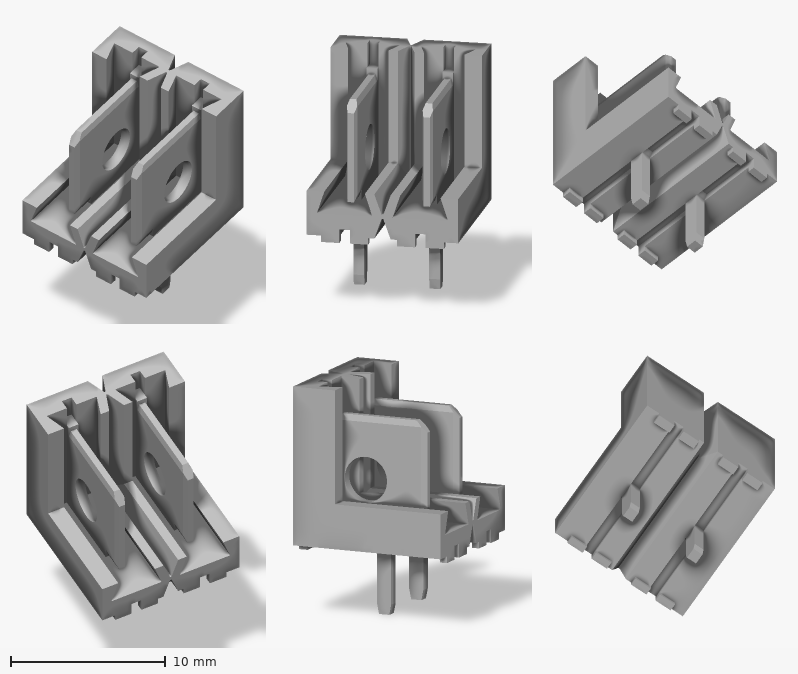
import cadquery as cq


housing_width = 10.0
half_width = housing_width / 2
leg_length = 10.5
leg_thickness = 2.97
channel_depth = 1.48
channel_mouth = 2.67
channel_base = 3.66
groove_width = 1.08
groove_tip = 0.1
web_thickness = 0.27

foot_width = 3.1
foot_height = 0.44
front_foot_depth = 0.5
back_foot_depth = 0.6

thickness = 0.7
plate_back = 1.77
plate_far = 8.5
edge_inset = 0.14
edge_reach = 0.4
corner_cut = 0.75
hole_diameter = 3.0
hole_setback = 4.2
hole_height = 4.3
tongue_back = 0.8
tongue_top = 8.88
base_front = 6.88
base_bottom = 0.48
pin_back = 5.0
pin_front = 6.0
pin_length = 4.5
pin_taper_length = 0.69
pin_taper_inset = 0.14
shoulder_height = 0.35
shoulder_reach = 0.22

cell_centers = [-half_width / 2, half_width / 2]


def block(width, x, y_range, z_range):
    """Box centred on x that spans the given Y and Z ranges."""
    y_min, y_max = y_range
    z_min, z_max = z_range
    return (
        cq.Workplane("XY", origin=(x, (y_min + y_max) / 2, z_min))
        .rect(width, y_max - y_min)
        .extrude(z_max - z_min)
    )


def leg_outline():
    """Leg cross-section as (x, height above the outer face): V grooves and dovetail channels."""
    groove_depth = (leg_thickness - web_thickness) / 2
    channel_floor = leg_thickness - channel_depth
    points = [
        (-half_width, 0),
        (-groove_width / 2, 0),
        (-groove_tip / 2, groove_depth),
        (groove_tip / 2, groove_depth),
        (groove_width / 2, 0),
        (half_width, 0),
        (half_width, leg_thickness),
    ]
    left, right = cell_centers
    inner_groove = [
        (groove_width / 2, leg_thickness),
        (groove_tip / 2, leg_thickness - groove_depth),
        (-groove_tip / 2, leg_thickness - groove_depth),
        (-groove_width / 2, leg_thickness),
    ]
    for center, following in ((right, inner_groove), (left, [(-half_width, leg_thickness)])):
        points += [
            (center + channel_mouth / 2, leg_thickness),
            (center + channel_base / 2, channel_floor),
            (center - channel_base / 2, channel_floor),
            (center - channel_mouth / 2, leg_thickness),
        ]
        points += following
    return points


def make_legs():
    """Floor and wall: one cross-section swept round the L with a mitred corner."""
    path = cq.Workplane("YZ").polyline([(-leg_length, 0), (0, 0), (0, leg_length)])
    outline = cq.Workplane("XZ", origin=(0, -leg_length, 0)).polyline(leg_outline()).close()
    return outline.sweep(path, transition="right")


def make_housing():
    housing = make_legs()
    for x in cell_centers:
        front_span = (-leg_length, -leg_length + front_foot_depth)
        back_span = (-back_foot_depth, 0)
        for span in (front_span, back_span):
            housing = housing.union(block(foot_width, x, span, (-foot_height, 0)))
        wall_slot = block(thickness, x, (-leg_thickness, -tongue_back), (base_bottom, leg_length))
        floor_slot = block(thickness, x, (-base_front, -tongue_back), (base_bottom, leg_thickness))
        underside = block(thickness, x, (-leg_length, 0), (-foot_height, base_bottom))
        housing = housing.cut(wall_slot).cut(floor_slot).cut(underside)
    return housing


def make_plate():
    """Blade with bevelled top, bottom and front edges and a cut corner."""
    half = thickness / 2
    land = half - edge_inset
    near, far = plate_back, plate_far
    bevelled_top_and_bottom = (
        cq.Workplane("XZ", origin=(0, -near, 0))
        .polyline([
            (-land, near), (land, near), (half, near + edge_reach), (half, far - edge_reach),
            (land, far), (-land, far), (-half, far - edge_reach), (-half, near + edge_reach),
        ])
        .close()
        .extrude(far - near)
    )
    bevelled_front = (
        cq.Workplane("XY", origin=(0, 0, near))
        .polyline([
            (-half, -near), (-half, edge_reach - far), (-land, -far),
            (land, -far), (half, edge_reach - far), (half, -near),
        ])
        .close()
        .extrude(far - near)
    )
    corner = (
        cq.Workplane("YZ")
        .polyline([(-far, far), (corner_cut - far, far), (-far, far - corner_cut)])
        .close()
        .extrude(half, both=True)
    )
    return bevelled_top_and_bottom.intersect(bevelled_front).cut(corner)


def make_terminal(x):
    """Blade with a round hole, the tongue and base that anchor it, and the tapered solder pin."""
    blade_overlap = plate_back + edge_reach
    anchor = (
        cq.Workplane("YZ")
        .polyline([
            (-tongue_back, tongue_top),
            (-tongue_back, base_bottom),
            (-pin_back, base_bottom),
            (-pin_back, pin_taper_length - pin_length),
            (-pin_back - pin_taper_inset, -pin_length),
            (-pin_front + pin_taper_inset, -pin_length),
            (-pin_front, pin_taper_length - pin_length),
            (-pin_front, base_bottom - shoulder_height),
            (-pin_front - shoulder_reach, base_bottom),
            (-base_front, base_bottom),
            (-base_front, blade_overlap),
            (-plate_back, blade_overlap),
            (-plate_back, tongue_top),
        ])
        .close()
        .extrude(thickness / 2, both=True)
    )
    hole = (
        cq.Workplane("YZ")
        .center(-hole_setback, hole_height)
        .circle(hole_diameter / 2)
        .extrude(thickness, both=True)
    )
    return make_plate().union(anchor).cut(hole).translate((x, 0, 0))


housing = make_housing()
terminals = [make_terminal(x) for x in cell_centers]

result = cq.Compound.makeCompound([housing.val(), *[terminal.val() for terminal in terminals]])